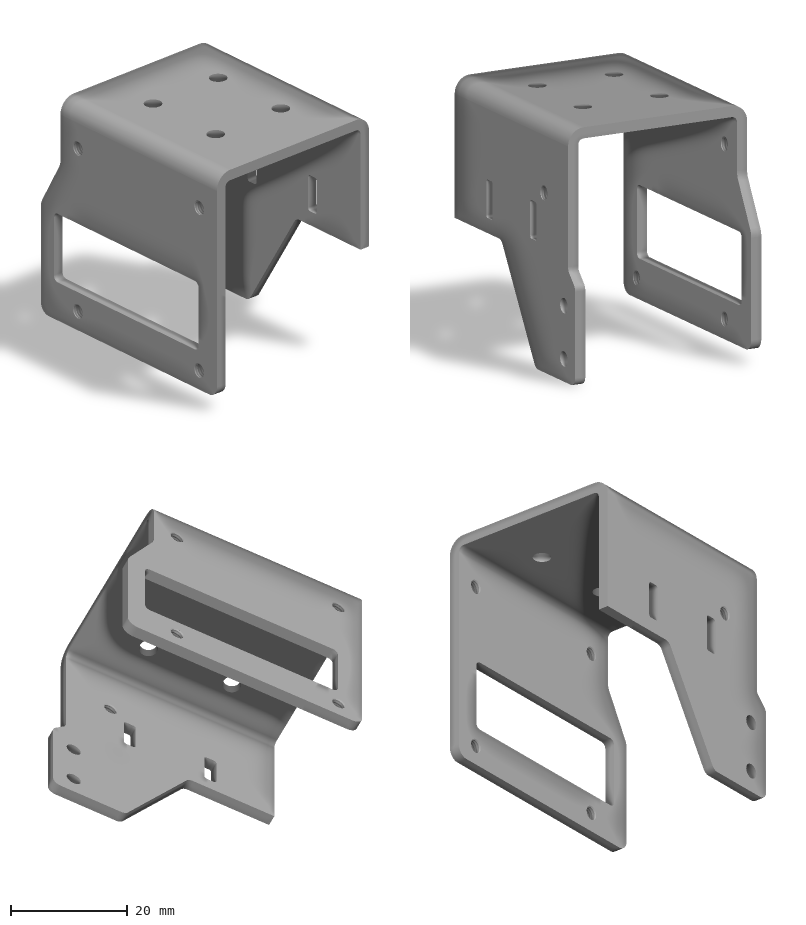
import cadquery as cq

length = 45.0
depth = 35.0
height = 45.0
thickness = 2.0
bend_outer_radius = 3.0
bend_inner_radius = bend_outer_radius - thickness
plate_left = 5.0
plate_center_x = (plate_left + length) / 2

front_bottom = 2.5
front_step_top = 32.55
front_step_bottom = 23.5
front_step_radius = 3.0
front_bottom_radius = 2.0
window_left = 3.35
window_right = 40.3
window_bottom = 9.75
window_top = 22.8
window_radius = 1.0
motor_hole_spacing = 31.0
motor_center_z = 21.5

back_left = 2.5
back_step_top = 20.0
back_step_bottom = back_step_top - (plate_left - back_left)
cutaway_z = 20.0
cutaway_top_x = 28.58
cutaway_bottom_x = 16.42
back_corner_radius = 1.5
side_hole_x = 6.5
side_hole_heights = (4.0, 13.45)
side_hole_diameter = 2.7
back_thread_x = 13.6
back_thread_z = 31.7
slot_width = 2.25
slot_height = 6.85
slot_spacing = 15.5
slot_center_z = 26.05
slot_radius = 0.5

plate_hole_diameter = 3.2
plate_hole_spacing_x = 16.0
plate_hole_spacing_y = 15.0
plate_hole_center_y = 18.0

thread_bore_radius = 1.2
thread_major_radius = 1.5
thread_pitch = 0.5
groove_half_width = 0.22
thread_start_angle = 110
groove_overlap = 0.15
groove_inner_radius = thread_bore_radius - groove_overlap


def bent_channel():
    """Top plate and both bends, extruded along X and trimmed where the flanges start."""
    outer = (
        cq.Workplane("YZ", origin=(plate_left, 0, 0))
        .rect(depth, height, centered=False)
        .extrude(length - plate_left)
        .edges("|X and >Z")
        .fillet(bend_outer_radius)
    )
    inner = (
        cq.Workplane("YZ", origin=(plate_left, thickness, 0))
        .rect(depth - 2 * thickness, height - thickness, centered=False)
        .extrude(length - plate_left)
        .edges("|X and >Z")
        .fillet(bend_inner_radius)
    )
    below_bends = cq.Workplane("XY").box(
        length, depth, height - bend_outer_radius, centered=False
    )
    return outer.cut(inner).cut(below_bends)


def flange(outline, front_y, rounded_corners):
    """Flat flange below a bend; rounded_corners maps (x, z) corners to radii."""
    body = (
        cq.Workplane("XZ", origin=(0, front_y, 0))
        .polyline(outline)
        .close()
        .extrude(-thickness)
    )
    for (x, z), radius in rounded_corners.items():
        corner = cq.selectors.NearestToPointSelector((x, front_y + thickness / 2, z))
        body = body.edges("|Y").edges(corner).fillet(radius)
    return body


def through_hole(x, z, diameter, front_y):
    """Cylinder crossing one flange."""
    return (
        cq.Workplane("XZ", origin=(x, front_y, z))
        .circle(diameter / 2)
        .extrude(-thickness)
    )


def rounded_opening(x, z, width, tall, radius, front_y):
    """Rectangular cutter with rounded corners crossing one flange."""
    return (
        cq.Workplane("XZ", origin=(x, front_y, z))
        .rect(width, tall)
        .extrude(-thickness)
        .edges("|Y")
        .fillet(radius)
    )


def thread_groove():
    """Helical V groove along +Y, running past both faces of a flange."""
    run = thickness + 2 * thread_pitch
    helix = cq.Workplane("XY").add(
        cq.Wire.makeHelix(thread_pitch, run, thread_major_radius)
    )
    groove = (
        cq.Workplane("XZ")
        .polyline(
            [
                (groove_inner_radius, -groove_half_width),
                (thread_major_radius, 0),
                (groove_inner_radius, groove_half_width),
            ]
        )
        .close()
        .sweep(helix, isFrenet=True)
    )
    groove = groove.translate((0, 0, -thread_pitch))
    groove = groove.rotate((0, 0, 0), (0, 0, 1), -thread_start_angle)
    return groove.rotate((0, 0, 0), (1, 0, 0), -90)


front_step_upper = (plate_left, front_step_top)
front_step_lower = (0, front_step_bottom)
front_foot_left = (0, front_bottom)
front_foot_right = (length, front_bottom)
bend_end_z = height - bend_outer_radius
front_flange = flange(
    [
        (plate_left, bend_end_z),
        front_step_upper,
        front_step_lower,
        front_foot_left,
        front_foot_right,
        (length, bend_end_z),
    ],
    0,
    {
        front_step_upper: front_step_radius,
        front_step_lower: front_step_radius,
        front_foot_left: front_bottom_radius,
        front_foot_right: front_bottom_radius,
    },
)

back_y = depth - thickness
back_step_upper = (plate_left, back_step_top)
back_step_lower = (back_left, back_step_bottom)
back_foot_left = (back_left, 0)
back_foot_right = (cutaway_bottom_x, 0)
cutaway_corner = (cutaway_top_x, cutaway_z)
back_flange = flange(
    [
        (plate_left, bend_end_z),
        back_step_upper,
        back_step_lower,
        back_foot_left,
        back_foot_right,
        cutaway_corner,
        (length, cutaway_z),
        (length, bend_end_z),
    ],
    back_y,
    {
        back_step_upper: back_corner_radius,
        back_step_lower: back_corner_radius,
        back_foot_left: back_corner_radius,
        back_foot_right: back_corner_radius,
        cutaway_corner: back_corner_radius,
    },
)

bracket = bent_channel().union(front_flange).union(back_flange)

bracket = bracket.cut(
    rounded_opening(
        (window_left + window_right) / 2,
        (window_bottom + window_top) / 2,
        window_right - window_left,
        window_top - window_bottom,
        window_radius,
        0,
    )
)

for side in (-1, 1):
    slot_x = plate_center_x + side * slot_spacing / 2
    bracket = bracket.cut(
        rounded_opening(slot_x, slot_center_z, slot_width, slot_height, slot_radius, back_y)
    )
for hole_z in side_hole_heights:
    bracket = bracket.cut(through_hole(side_hole_x, hole_z, side_hole_diameter, back_y))

plate_holes = (
    cq.Workplane("XY", origin=(plate_center_x, plate_hole_center_y, height - thickness))
    .rarray(plate_hole_spacing_x, plate_hole_spacing_y, 2, 2)
    .circle(plate_hole_diameter / 2)
    .extrude(thickness)
)
bracket = bracket.cut(plate_holes)

half_spacing = motor_hole_spacing / 2
threaded_holes = [
    (plate_center_x + side * half_spacing, 0, motor_center_z + level * half_spacing)
    for side in (-1, 1)
    for level in (-1, 1)
]
threaded_holes.append((back_thread_x, back_y, back_thread_z))
groove_cutter = thread_groove()
for x, y, z in threaded_holes:
    bracket = bracket.cut(groove_cutter.translate((x, y, z)))
    bracket = bracket.cut(through_hole(x, z, 2 * thread_bore_radius, y))

result = bracket